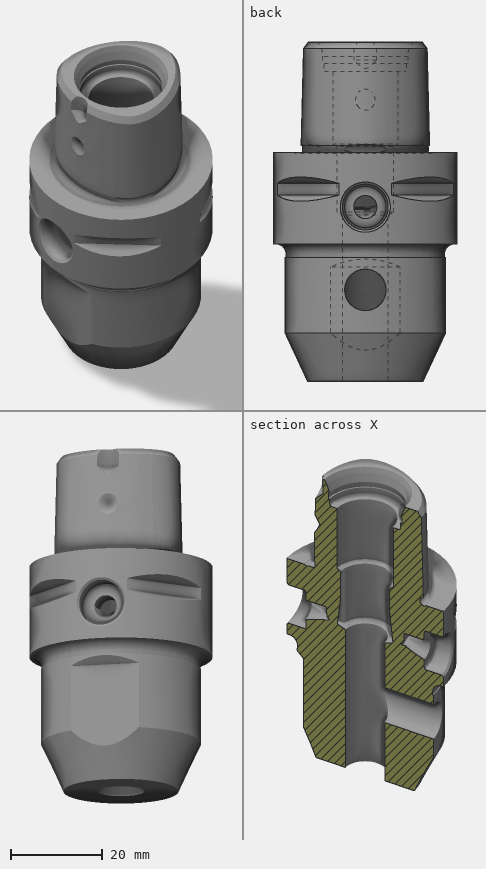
import cadquery as cq
import math

OVERCUT = 0.75

TOTAL_HEIGHT = 74.0
CONE_TOP = 10.6
NECK_BOTTOM = 27.0
NECK_TOP = 27.9
FLANGE_BOTTOM = 30.0
FLANGE_TOP = 49.95
TAPER_BOTTOM = 51.4

NOSE_RADIUS = 12.6
SHANK_RADIUS = 35.0 / 2
NECK_RADIUS = 34.6 / 2
FLANGE_RADIUS = 40.0 / 2

LOBE_HEIGHT = 0.9
COUPLING_RADIUS = 28.05 / 2
COUPLING_TAPER = 1 / 40
FLAT_HALF_ANGLE = 31.5
POINTS_PER_CURVE = 13
RELIEF_STEP = 0.3
TOP_CHAMFER_HEIGHT = 1.4
TOP_CHAMFER_WIDTH = 1.0

GROOVE_CENTRE_RADIUS = 14.95
GROOVE_CENTRE_LEVEL = 50.7
GROOVE_SECTION_RADIUS = 0.95

ENTRY_RADIUS = 10.3
LEAD_IN_RADIUS = 9.7
SEAT_RADIUS = 18.0 / 2
UNDERCUT_RADIUS = 9.3
UPPER_BORE_RADIUS = 7.1
MIDDLE_BORE_RADIUS = 12.35 / 2
TOOL_BORE_RADIUS = 10.0 / 2
ENTRY_DEPTH = 1.2
LEAD_IN_DEPTH = 3.1
UNDERCUT_DEPTH = 4.6
SEAT_DEPTH = 6.45
SEAT_FILLET = 0.555
UPPER_BORE_LEVEL = 51.8
MIDDLE_BORE_LEVEL = 37.0
DRILL_TIP_ANGLE = 118.0

SLOT_LEVEL = 41.95
SLOT_FLOOR_HEIGHT = 2.5
SLOT_FLOOR_DISTANCE = 17.6
SLOT_SIDE_ANGLE = 30.0

POCKET_LEVEL = 38.0
POCKET_RIM_CHAMFER = 0.48
POCKET_DIAMETER = 10.0
POCKET_FLOOR_DIAMETER = 9.0
POCKET_FLOOR_DISTANCE = 15.1
POCKET_CORNER_DEPTH = 0.2
POCKET_PILOT_DIAMETER = 5.0
CORE_RADIUS = 20.0 / 2
CORE_STEP = 0.8

FLAT_DISTANCE = 15.75
FLAT_TOP = 24.95
SCREW_LEVEL = 20.0
SCREW_DIAMETER = 9.0

NOTCH_RADIUS = 2.7
NOTCH_AXIS_DISTANCE = 13.55
NOTCH_LEVEL = 70.1
DIMPLE_LEVEL = 61.6
DIMPLE_DIAMETER = 4.6
DIMPLE_DEPTH = 1.3


def coupling_radius_at(level):
    return COUPLING_RADIUS - (level - TAPER_BOTTOM) * COUPLING_TAPER


def coupling_point(mean_radius, normal_angle):
    """Point of the constant-width lobed curve whose outward normal has the given angle from a lobe."""
    support = mean_radius + LOBE_HEIGHT * math.cos(3 * normal_angle)
    slope = -3 * LOBE_HEIGHT * math.sin(3 * normal_angle)
    x = support * math.cos(normal_angle) - slope * math.sin(normal_angle)
    y = support * math.sin(normal_angle) + slope * math.cos(normal_angle)
    return cq.Vector(-y, x)


def coupling_wire(mean_radius, level):
    """Six curves, alternately a lobe (centred on +Y first) and a flat, at one level."""
    lobe_half = 60 - FLAT_HALF_ANGLE
    edges = []
    for lobe_angle in (0, 120, 240):
        lobe_end = lobe_angle + lobe_half
        spans = ((lobe_angle - lobe_half, lobe_end), (lobe_end, lobe_end + 2 * FLAT_HALF_ANGLE))
        for start, end in spans:
            angle_step = math.radians(end - start) / (POINTS_PER_CURVE - 1)
            angles = [math.radians(start) + i * angle_step for i in range(POINTS_PER_CURVE)]
            points = [coupling_point(mean_radius, angle) + cq.Vector(0, 0, level) for angle in angles]
            tangents = [cq.Vector(-math.cos(angle), -math.sin(angle)) for angle in (angles[0], angles[-1])]
            edges.append(cq.Edge.makeSpline(points, tangents=tangents))
    return cq.Wire.assembleEdges(edges)


def coupling_section(bottom_radius, bottom, top_radius, top):
    wires = [coupling_wire(bottom_radius, bottom), coupling_wire(top_radius, top)]
    return cq.Workplane(cq.Solid.makeLoft(wires, True))


def coupling():
    root_radius = COUPLING_RADIUS - RELIEF_STEP
    chamfer_level = TOTAL_HEIGHT - TOP_CHAMFER_HEIGHT
    chamfer_radius = coupling_radius_at(chamfer_level)
    root = coupling_section(root_radius, FLANGE_TOP, root_radius, TAPER_BOTTOM)
    taper = coupling_section(COUPLING_RADIUS, TAPER_BOTTOM, chamfer_radius, chamfer_level)
    tip = coupling_section(chamfer_radius, chamfer_level, chamfer_radius - TOP_CHAMFER_WIDTH, TOTAL_HEIGHT)
    return root.union(taper).union(tip)


def turned_body():
    neck_fillet = FLANGE_BOTTOM - NECK_TOP
    return (
        cq.Workplane("XZ")
        .lineTo(NOSE_RADIUS, 0)
        .lineTo(SHANK_RADIUS, CONE_TOP)
        .lineTo(SHANK_RADIUS, NECK_BOTTOM)
        .lineTo(NECK_RADIUS, NECK_BOTTOM)
        .lineTo(NECK_RADIUS, NECK_TOP)
        .radiusArc((NECK_RADIUS + neck_fillet, FLANGE_BOTTOM), neck_fillet)
        .lineTo(FLANGE_RADIUS, FLANGE_BOTTOM)
        .lineTo(FLANGE_RADIUS, FLANGE_TOP)
        .lineTo(0, FLANGE_TOP)
        .close()
        .revolve(360, (0, 0, 0), (0, 1, 0))
    )


def root_groove():
    return cq.Workplane(
        cq.Solid.makeTorus(GROOVE_CENTRE_RADIUS, GROOVE_SECTION_RADIUS, cq.Vector(0, 0, GROOVE_CENTRE_LEVEL))
    )


def bore():
    seat_level = TOTAL_HEIGHT - SEAT_DEPTH
    tip_slope = 1 / math.tan(math.radians(DRILL_TIP_ANGLE / 2))
    return (
        cq.Workplane("XZ")
        .moveTo(0, TOTAL_HEIGHT)
        .lineTo(ENTRY_RADIUS, TOTAL_HEIGHT)
        .lineTo(LEAD_IN_RADIUS, TOTAL_HEIGHT - ENTRY_DEPTH)
        .lineTo(SEAT_RADIUS, TOTAL_HEIGHT - LEAD_IN_DEPTH)
        .lineTo(UNDERCUT_RADIUS, TOTAL_HEIGHT - LEAD_IN_DEPTH)
        .lineTo(UNDERCUT_RADIUS, TOTAL_HEIGHT - UNDERCUT_DEPTH)
        .lineTo(SEAT_RADIUS, TOTAL_HEIGHT - UNDERCUT_DEPTH)
        .lineTo(SEAT_RADIUS, seat_level + SEAT_FILLET)
        .radiusArc((SEAT_RADIUS - SEAT_FILLET, seat_level), SEAT_FILLET)
        .lineTo(UPPER_BORE_RADIUS, seat_level)
        .lineTo(UPPER_BORE_RADIUS, UPPER_BORE_LEVEL)
        .lineTo(MIDDLE_BORE_RADIUS, UPPER_BORE_LEVEL - (UPPER_BORE_RADIUS - MIDDLE_BORE_RADIUS) * tip_slope)
        .lineTo(MIDDLE_BORE_RADIUS, MIDDLE_BORE_LEVEL)
        .lineTo(TOOL_BORE_RADIUS, MIDDLE_BORE_LEVEL - (MIDDLE_BORE_RADIUS - TOOL_BORE_RADIUS) * tip_slope)
        .lineTo(TOOL_BORE_RADIUS, 0)
        .lineTo(0, 0)
        .close()
        .revolve(360, (0, 0, 0), (0, 1, 0))
    )


def gripper_slots():
    """V-shaped slots with a narrow floor, one on each diagonal of the flange."""
    outer = FLANGE_RADIUS + OVERCUT
    floor_half = SLOT_FLOOR_HEIGHT / 2
    mouth_half = floor_half + (outer - SLOT_FLOOR_DISTANCE) * math.tan(math.radians(SLOT_SIDE_ANGLE))
    slot = (
        cq.Workplane("XZ")
        .moveTo(SLOT_FLOOR_DISTANCE, SLOT_LEVEL - floor_half)
        .lineTo(outer, SLOT_LEVEL - mouth_half)
        .lineTo(outer, SLOT_LEVEL + mouth_half)
        .lineTo(SLOT_FLOOR_DISTANCE, SLOT_LEVEL + floor_half)
        .close()
        .extrude(FLANGE_RADIUS, both=True)
    )
    slots = cq.Workplane()
    for angle in (45, 135, 225, 315):
        slots = slots.add(slot.rotate((0, 0, 0), (0, 0, 1), angle))
    return slots.combine()


def flange_pocket():
    """Round pocket on the -Y side, with a pilot hole ending on a stepped inner core."""
    outer = FLANGE_RADIUS + OVERCUT
    core_bottom_radius = CORE_RADIUS - CORE_STEP
    pilot_end = core_bottom_radius - POCKET_PILOT_DIAMETER / 2
    pocket = (
        cq.Workplane("XY")
        .moveTo(0, -outer)
        .lineTo(POCKET_DIAMETER / 2, -outer)
        .lineTo(POCKET_DIAMETER / 2, -POCKET_FLOOR_DISTANCE - POCKET_CORNER_DEPTH)
        .lineTo(POCKET_FLOOR_DIAMETER / 2, -POCKET_FLOOR_DISTANCE)
        .lineTo(POCKET_PILOT_DIAMETER / 2, -POCKET_FLOOR_DISTANCE)
        .lineTo(POCKET_PILOT_DIAMETER / 2, -pilot_end)
        .lineTo(0, -pilot_end)
        .close()
        .revolve(360, (0, 0, 0), (0, 1, 0))
        .translate((0, 0, POCKET_LEVEL))
    )
    core = (
        cq.Workplane("XZ")
        .moveTo(0, FLANGE_BOTTOM)
        .lineTo(core_bottom_radius, FLANGE_BOTTOM)
        .lineTo(core_bottom_radius, POCKET_LEVEL - CORE_STEP)
        .lineTo(CORE_RADIUS, POCKET_LEVEL)
        .lineTo(CORE_RADIUS, FLANGE_TOP)
        .lineTo(0, FLANGE_TOP)
        .close()
        .revolve(360, (0, 0, 0), (0, 1, 0))
    )
    return pocket.cut(core)


def front_flat():
    """Flat on the -Y side of the shank, ending upward in a 45 degree run-out."""
    outer = SHANK_RADIUS + OVERCUT
    return (
        cq.Workplane("YZ")
        .moveTo(-FLAT_DISTANCE, 0)
        .lineTo(-FLAT_DISTANCE, FLAT_TOP)
        .lineTo(-outer, FLAT_TOP + outer - FLAT_DISTANCE)
        .lineTo(-outer, 0)
        .close()
        .extrude(SHANK_RADIUS, both=True)
    )


def screw_hole():
    return (
        cq.Workplane("XZ")
        .center(0, SCREW_LEVEL)
        .circle(SCREW_DIAMETER / 2)
        .extrude(-FLANGE_RADIUS)
    )


def top_notch():
    """Vertical drilling with a 45 degree tip that breaks out through the coupling flat."""
    return (
        cq.Workplane("XZ")
        .moveTo(0, NOTCH_LEVEL - NOTCH_RADIUS)
        .lineTo(NOTCH_RADIUS, NOTCH_LEVEL)
        .lineTo(NOTCH_RADIUS, TOTAL_HEIGHT)
        .lineTo(0, TOTAL_HEIGHT)
        .close()
        .revolve(360, (0, 0, 0), (0, 1, 0))
        .translate((0, -NOTCH_AXIS_DISTANCE, 0))
    )


def dimple():
    """Conical dimple in the coupling flat, below the notch."""
    surface = coupling_radius_at(DIMPLE_LEVEL) - LOBE_HEIGHT
    widening = DIMPLE_DIAMETER / 2 / DIMPLE_DEPTH
    mouth_radius = DIMPLE_DIAMETER / 2 + OVERCUT * widening
    return cq.Workplane(
        cq.Solid.makeCone(
            mouth_radius,
            0,
            DIMPLE_DEPTH + OVERCUT,
            cq.Vector(0, -surface - OVERCUT, DIMPLE_LEVEL),
            cq.Vector(0, 1, 0),
        )
    )


def with_flange_pockets(body):
    """Opposite pockets on the -Y and +Y sides, with chamfered mouths."""
    pocket = flange_pocket()
    body = body.cut(pocket).cut(pocket.mirror("XZ"))
    mouth_inner = math.sqrt(FLANGE_RADIUS**2 - (POCKET_DIAMETER / 2) ** 2)
    for side in (-1, 1):
        mouth_finder = cq.selectors.BoxSelector(
            (-OVERCUT, side * mouth_inner, POCKET_LEVEL - OVERCUT),
            (OVERCUT, side * FLANGE_RADIUS, POCKET_LEVEL + OVERCUT),
        )
        body = body.edges(mouth_finder).chamfer(POCKET_RIM_CHAMFER)
    return body


body = turned_body().union(coupling())
result = (
    with_flange_pockets(body)
    .cut(root_groove())
    .cut(bore())
    .cut(gripper_slots())
    .cut(front_flat())
    .cut(screw_hole())
    .cut(top_notch())
    .cut(dimple())
)